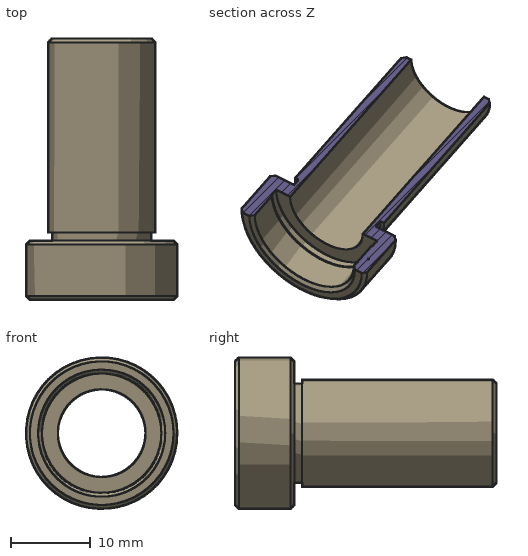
import cadquery as cq

length = 32.9
head_diameter = 19.05
head_length = 7.47
body_diameter = 13.5
neck_diameter = 12.5
neck_length = 1.0
edge_chamfer = 0.5

bore_diameter = 11.0
recess_diameter = 15.0
recess_depth = 5.5
undercut_diameter = 15.2
undercut_length = 1.0

head_radius = head_diameter / 2
body_radius = body_diameter / 2
neck_radius = neck_diameter / 2
bore_radius = bore_diameter / 2
recess_radius = recess_diameter / 2
undercut_radius = undercut_diameter / 2

front = -length / 2
back = length / 2
recess_floor = front + recess_depth
undercut_front = recess_floor - undercut_length
head_back = front + head_length
neck_back = head_back + neck_length

half_section = [
    (head_radius - edge_chamfer, front),
    (head_radius, front + edge_chamfer),
    (head_radius, head_back - edge_chamfer),
    (head_radius - edge_chamfer, head_back),
    (neck_radius, head_back),
    (neck_radius, neck_back),
    (body_radius, neck_back),
    (body_radius, back - edge_chamfer),
    (body_radius - edge_chamfer, back),
    (bore_radius, back),
    (bore_radius, recess_floor),
    (undercut_radius, recess_floor),
    (undercut_radius, undercut_front),
    (recess_radius, undercut_front),
    (recess_radius, front + edge_chamfer),
    (recess_radius + edge_chamfer, front),
]

result = cq.Workplane("XY").polyline(half_section).close().revolve(360, (0, 0, 0), (0, 1, 0))